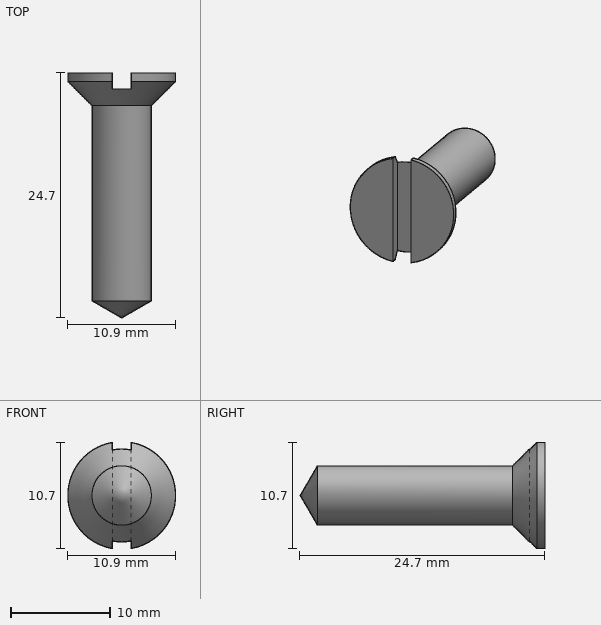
import cadquery as cq
import math

head_diameter = 10.9
shank_diameter = 6.0
rim_thickness = 0.85
countersink_angle = 90.0
point_angle = 120.0
length_to_point = 23.0
slot_width = 1.9
slot_depth = 1.6

head_radius = head_diameter / 2
shank_radius = shank_diameter / 2
cone_height = (head_radius - shank_radius) / math.tan(math.radians(countersink_angle / 2))
head_height = rim_thickness + cone_height
point_height = shank_radius / math.tan(math.radians(point_angle / 2))
overall_length = length_to_point + point_height


def screw_body():
    """Half profile of head, shank and point, revolved about the Y axis."""
    return (
        cq.Workplane("XY")
        .moveTo(0, 0)
        .lineTo(head_radius, 0)
        .lineTo(head_radius, -rim_thickness)
        .lineTo(shank_radius, -head_height)
        .lineTo(shank_radius, -length_to_point)
        .lineTo(0, -overall_length)
        .close()
        .revolve(360, (0, 0, 0), (0, 1, 0))
    )


def driver_slot():
    """Straight slot across the whole head along Z, open at the head face."""
    return cq.Workplane("XY").box(slot_width, 2 * slot_depth, 2 * head_diameter)


result = screw_body().cut(driver_slot())